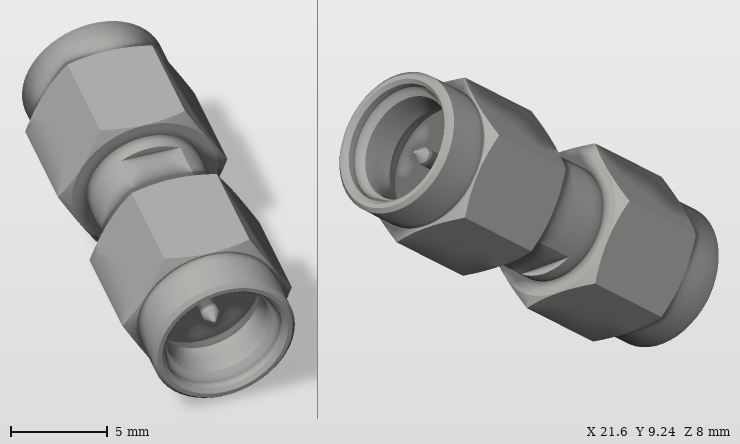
import cadquery as cq
import math

total_length = 21.6
half_length = total_length / 2

neck_radius = 3.18
neck_length = 4.36
flat_length = 2.55
flat_to_flat = 5.49

hex_across_flats = 8.0
hex_length = 6.05
hex_bevel_angle = 30.0
hex_face_radius = 3.97
collar_radius = 3.87
collar_chamfer = 0.22

mouth_radius = 3.41
counterbore_radius = 3.22
counterbore_length = 0.48
bore_radius = 2.83
bore_end_depth = 3.0
socket_depth = 3.9

insulator_radius = 2.27
insulator_step = 0.05
pin_radius = 0.45
pin_tip_radius = 0.06
pin_shoulder_depth = 2.25
pin_tip_depth = 1.68

hex_inner_x = neck_length / 2
hex_outer_x = hex_inner_x + hex_length
mouth_chamfer = mouth_radius - counterbore_radius
counterbore_end_depth = mouth_chamfer + counterbore_length
bore_chamfer = counterbore_radius - bore_radius
bore_start_depth = counterbore_end_depth + bore_chamfer
relief_start_depth = bore_end_depth + bore_chamfer
insulator_depth = socket_depth - insulator_step


def revolve_about_x(points):
    """Turn a closed (x, radius) outline about the X axis."""
    return cq.Workplane("XY").polyline(points).close().revolve(360, (0, 0, 0), (1, 0, 0))


def depth_to_x(depth):
    """X of a point that lies the given depth inside the +X end face."""
    return half_length - depth


def make_hex():
    """Hexagon with corners on +Y and -Y, bevelled to a round face at both ends."""
    corner_diameter = hex_across_flats / math.cos(math.pi / 6)
    corner_radius = corner_diameter / 2
    bevel_length = (corner_radius - hex_face_radius) * math.tan(math.radians(hex_bevel_angle))
    prism = (
        cq.Workplane("YZ")
        .workplane(offset=hex_inner_x)
        .polygon(6, corner_diameter)
        .extrude(hex_length)
    )
    bevel_envelope = revolve_about_x([
        (hex_inner_x, 0),
        (hex_inner_x, hex_face_radius),
        (hex_inner_x + bevel_length, corner_radius),
        (hex_outer_x - bevel_length, corner_radius),
        (hex_outer_x, hex_face_radius),
        (hex_outer_x, 0),
    ])
    return prism.intersect(bevel_envelope)


def make_collar():
    """Round collar from the hexagon to the end face, chamfered at the mouth."""
    return revolve_about_x([
        (hex_inner_x, 0),
        (hex_inner_x, collar_radius),
        (depth_to_x(collar_chamfer), collar_radius),
        (half_length, collar_radius - collar_chamfer),
        (half_length, 0),
    ])


def make_socket():
    """Stepped cavity: counterbore, bore bevelled at both ends, relief and raised insulator."""
    steps = [
        (0, 0),
        (0, mouth_radius),
        (mouth_chamfer, counterbore_radius),
        (counterbore_end_depth, counterbore_radius),
        (bore_start_depth, bore_radius),
        (bore_end_depth, bore_radius),
        (relief_start_depth, counterbore_radius),
        (socket_depth, counterbore_radius),
        (socket_depth, insulator_radius),
        (insulator_depth, insulator_radius),
        (insulator_depth, 0),
    ]
    return revolve_about_x([(depth_to_x(depth), radius) for depth, radius in steps])


def make_pin():
    """Contact pin with a conical tip, rooted in the neck."""
    return revolve_about_x([
        (0, 0),
        (0, pin_radius),
        (depth_to_x(pin_shoulder_depth), pin_radius),
        (depth_to_x(pin_tip_depth), pin_tip_radius),
        (depth_to_x(pin_tip_depth), 0),
    ])


def make_neck():
    """Round neck with a wrench flat cut on the top and the bottom."""
    neck = cq.Workplane("YZ").circle(neck_radius).extrude(neck_length / 2, both=True)
    flat_depth = neck_radius - flat_to_flat / 2
    flat_offset = flat_to_flat / 2 + flat_depth / 2
    for side in (1, -1):
        cutter = cq.Workplane("XY").box(flat_length, 2 * neck_radius, flat_depth)
        neck = neck.cut(cutter.translate((0, 0, side * flat_offset)))
    return neck


plug = make_hex().union(make_collar()).cut(make_socket())
pin = make_pin()
result = make_neck()
for body in (plug, pin):
    result = result.union(body).union(body.mirror("YZ"))